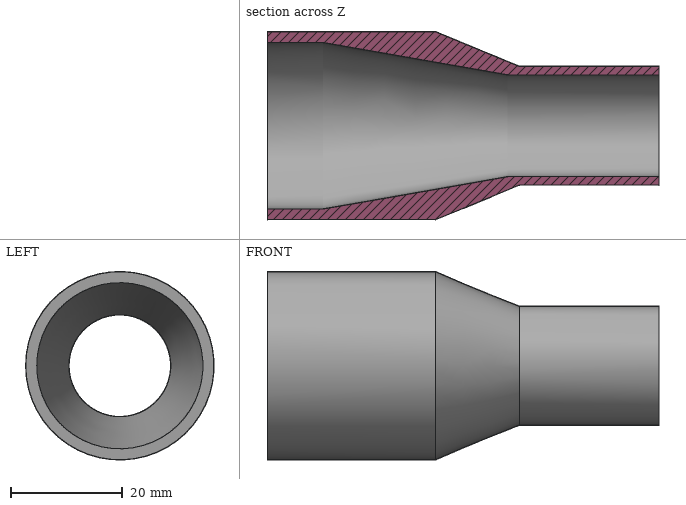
import cadquery as cq

total_length = 70.0
socket_outer_diameter = 33.7
socket_bore_diameter = 29.7
spigot_outer_diameter = 21.3
spigot_bore_diameter = 18.1

socket_length = 30.0
spigot_length = 25.0
outer_taper_end = total_length - spigot_length

bore_taper_start = 10.0
bore_taper_end = 43.0


def stepped_solid(wide_diameter, narrow_diameter, taper_start, taper_end):
    """Solid of revolution: wide cylinder, cone, then narrow cylinder."""
    wide_radius = wide_diameter / 2
    narrow_radius = narrow_diameter / 2
    profile = (
        cq.Workplane("XY")
        .moveTo(0, 0)
        .lineTo(0, wide_radius)
        .lineTo(taper_start, wide_radius)
        .lineTo(taper_end, narrow_radius)
        .lineTo(total_length, narrow_radius)
        .lineTo(total_length, 0)
        .close()
    )
    return profile.revolve(360, (0, 0, 0), (1, 0, 0))


body = stepped_solid(socket_outer_diameter, spigot_outer_diameter, socket_length, outer_taper_end)
bore = stepped_solid(socket_bore_diameter, spigot_bore_diameter, bore_taper_start, bore_taper_end)

result = body.cut(bore)